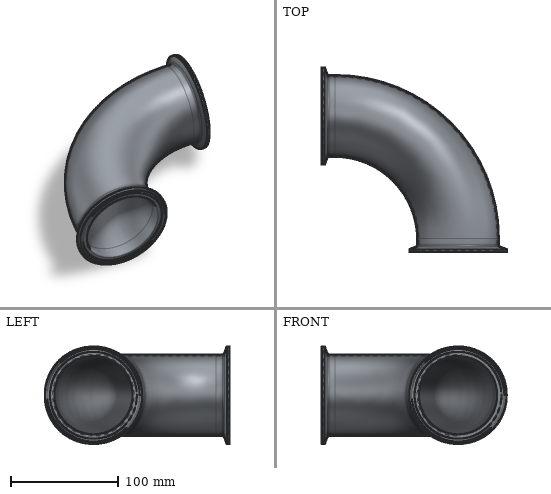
import cadquery as cq
import math

outer_length = 172.5
tube_diameter = 76.2
bore_diameter = 73.0

flange_diameter = 90.9
ferrule_length = 12.6
rim_thickness = 2.8
back_angle = 20.0
neck_fillet = 1.7

groove_diameter = 83.6
groove_width = 2.8
groove_depth = 1.4
face_edge_fillet = 0.3

tube_radius = tube_diameter / 2
bore_radius = bore_diameter / 2
flange_radius = flange_diameter / 2
groove_radius = groove_diameter / 2
bend_radius = outer_length - ferrule_length - flange_radius


def make_bend():
    """Quarter-turn tube about the Z axis, from the +Y axis to the +X axis."""
    return (
        cq.Workplane("YZ")
        .center(bend_radius, 0)
        .circle(tube_radius)
        .circle(bore_radius)
        .revolve(90, (-bend_radius, 0), (-bend_radius, -1))
    )


def make_ferrule():
    """Ferrule around the Y axis, sealing face at -Y and tube end at Y = 0."""
    face = -ferrule_length
    rim_back = face + rim_thickness
    slope = math.radians(back_angle)
    neck = rim_back + (flange_radius - tube_radius) * math.tan(slope)

    half_turn = (math.pi / 2 - slope) / 2
    fillet_reach = neck_fillet * math.tan(half_turn)
    fillet_top = neck + fillet_reach
    fillet_on_cone = (
        tube_radius + fillet_reach * math.cos(slope),
        neck - fillet_reach * math.sin(slope),
    )
    fillet_middle = (
        tube_radius + neck_fillet * (1 - math.cos(half_turn)),
        fillet_top - neck_fillet * math.sin(half_turn),
    )

    ferrule = (
        cq.Workplane("XY")
        .moveTo(bore_radius, face)
        .lineTo(groove_radius - groove_width / 2, face)
        .threePointArc(
            (groove_radius, face + groove_depth),
            (groove_radius + groove_width / 2, face),
        )
        .lineTo(flange_radius, face)
        .lineTo(flange_radius, rim_back)
        .lineTo(*fillet_on_cone)
        .threePointArc(fillet_middle, (tube_radius, fillet_top))
        .lineTo(tube_radius, 0)
        .lineTo(bore_radius, 0)
        .close()
        .revolve(360, (0, 0), (0, 1))
    )

    return ferrule.faces("<Y").edges().fillet(face_edge_fillet)


ferrule = make_ferrule()
front_ferrule = ferrule.translate((bend_radius, 0, 0))
side_ferrule = ferrule.rotate((0, 0, 0), (0, 0, 1), -90).translate((0, bend_radius, 0))

result = make_bend().union(front_ferrule).union(side_ferrule)